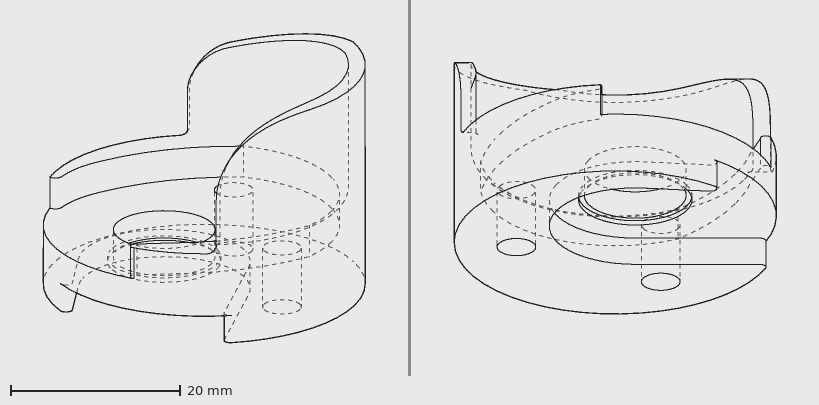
import cadquery as cq
import math

OUTER_RADIUS = 19.05
TOTAL_HEIGHT = 27.93
LEDGE_HEIGHT = 11.43
FLOOR_HEIGHT = 7.5
BLANK_RADIUS = 22.85
CUT_REACH = 26.67

WALL_INNER_RADIUS = 17.05
WALL_ROTATION = 15.0
SHOULDER_U = 15.5
RIGHT_SHOULDER_RADIUS = 9.9
LEFT_END_U = -5.95
LEFT_SHOULDER_RADIUS = 6.65
RIM_SLOPE = math.radians(15.5)
LEFT_EDGE_ROUND = 0.85
FOOT_FILLET = 1.05

POCKET_RADIUS = WALL_INNER_RADIUS - FOOT_FILLET
FLANK_START_X = -3.05
FLANK_START = (FLANK_START_X, math.sqrt(POCKET_RADIUS**2 - FLANK_START_X**2))
FLANK_MIDDLE = (-10.63, 10.35)
FLANK_END = (-15.77, 3.5)
LEFT_HORN_SIDE = (-17.2, 0)
LEFT_HORN_TIP = [(-17.53, -2.97), (-18.25, -3.77), (-18.8, -3.65)]
RIGHT_HORN_TIP = [(0.65, -19.0), (-0.08, -18.4), (0.42, -17.8)]

BORE_RADIUS = 6.02
BORE_OFFSET = -3.5
BORE_RELIEF_RADIUS = 6.7
BORE_RELIEF_HEIGHT = 4.05
SMALL_HOLE_RADIUS = 2.3
SMALL_HOLE_CENTERS = [(-2.17, 11.55), (11.55, -2.17)]

RECESS_HEIGHT = 3.45
RECESS_RADIUS = 10.17
MOUTH_LEFT_X = -9.0
MOUTH_RIGHT_X = 10.75
MOUTH_ROUND = 0.75


def swap(point):
    """Mirror a point about the X = Y diagonal."""
    return (point[1], point[0])


def wall_side(profile, v_start, v_end):
    """Extrude a (u, z) profile along v and turn it into the part's axes."""
    side = profile.close().extrude(v_start - v_end)
    return side.translate((0, v_start, 0)).rotate((0, 0, 0), (0, 0, 1), WALL_ROTATION)


def right_wall_limit():
    end_u = SHOULDER_U - RIGHT_SHOULDER_RADIUS
    diagonal = RIGHT_SHOULDER_RADIUS * math.sqrt(0.5)
    center_z = TOTAL_HEIGHT - RIGHT_SHOULDER_RADIUS
    profile = (
        cq.Workplane("XZ")
        .moveTo(end_u, 0)
        .lineTo(end_u, center_z)
        .threePointArc((SHOULDER_U - diagonal, center_z + diagonal), (SHOULDER_U, TOTAL_HEIGHT))
        .lineTo(CUT_REACH, TOTAL_HEIGHT)
        .lineTo(CUT_REACH, 0)
    )
    return wall_side(profile, 0, -CUT_REACH)


def left_wall_limit():
    radius = LEFT_SHOULDER_RADIUS
    center_u = LEFT_END_U + radius
    slope_u = center_u - radius * math.sin(RIM_SLOPE)
    slope_z = TOTAL_HEIGHT - (SHOULDER_U - slope_u) * math.tan(RIM_SLOPE)
    center_z = slope_z - radius * math.cos(RIM_SLOPE)
    half_sweep = (math.pi / 2 - RIM_SLOPE) / 2
    arc_middle = (center_u - radius * math.cos(half_sweep), center_z + radius * math.sin(half_sweep))
    profile = (
        cq.Workplane("XZ")
        .moveTo(LEFT_END_U, 0)
        .lineTo(LEFT_END_U, center_z)
        .threePointArc(arc_middle, (slope_u, slope_z))
        .lineTo(SHOULDER_U, TOTAL_HEIGHT)
        .lineTo(CUT_REACH, TOTAL_HEIGHT)
        .lineTo(CUT_REACH, 0)
    )
    return wall_side(profile, CUT_REACH, 0)


def left_wall():
    plan = (
        cq.Workplane("XY")
        .rect(CUT_REACH - LEFT_END_U, CUT_REACH)
        .extrude(TOTAL_HEIGHT)
        .translate(((CUT_REACH + LEFT_END_U) / 2, CUT_REACH / 2, 0))
        .rotate((0, 0, 0), (0, 0, 1), WALL_ROTATION)
    )
    ring = wall_ring().intersect(plan)
    end_v = math.sqrt(WALL_INNER_RADIUS**2 - LEFT_END_U**2)
    angle = math.radians(WALL_ROTATION)
    edge_x = LEFT_END_U * math.cos(angle) - end_v * math.sin(angle)
    edge_y = LEFT_END_U * math.sin(angle) + end_v * math.cos(angle)
    edge = cq.selectors.NearestToPointSelector((edge_x, edge_y, TOTAL_HEIGHT / 2))
    return ring.edges("|Z").edges(edge).fillet(LEFT_EDGE_ROUND).intersect(left_wall_limit())


def wall_ring():
    return cq.Workplane("XY").circle(BLANK_RADIUS).circle(WALL_INNER_RADIUS).extrude(TOTAL_HEIGHT)


def body_with_wall():
    base = cq.Workplane("XY").circle(CUT_REACH).extrude(LEDGE_HEIGHT)
    right_wall = wall_ring().intersect(right_wall_limit())
    body = base.union(left_wall()).union(right_wall).clean()
    ledge = body.faces(cq.selectors.NearestToPointSelector((0, 0, LEDGE_HEIGHT))).val()
    foot = [edge for wire in ledge.innerWires() for edge in wire.Edges()]
    envelope = cq.Workplane("XY").circle(OUTER_RADIUS).extrude(TOTAL_HEIGHT)
    return body.newObject(foot).fillet(FOOT_FILLET).intersect(envelope)


def pocket():
    """Round at the back, flaring past both flanks and open at the front left."""
    diagonal = POCKET_RADIUS * math.sqrt(0.5)
    return (
        cq.Workplane("XY")
        .workplane(offset=FLOOR_HEIGHT)
        .moveTo(*FLANK_START)
        .threePointArc(FLANK_MIDDLE, FLANK_END)
        .threePointArc(LEFT_HORN_SIDE, LEFT_HORN_TIP[0])
        .threePointArc(LEFT_HORN_TIP[1], LEFT_HORN_TIP[2])
        .lineTo(-CUT_REACH, LEFT_HORN_TIP[2][1])
        .lineTo(-CUT_REACH, -CUT_REACH)
        .lineTo(RIGHT_HORN_TIP[0][0], -CUT_REACH)
        .lineTo(*RIGHT_HORN_TIP[0])
        .threePointArc(RIGHT_HORN_TIP[1], RIGHT_HORN_TIP[2])
        .lineTo(*swap(FLANK_END))
        .threePointArc(swap(FLANK_MIDDLE), swap(FLANK_START))
        .threePointArc((diagonal, diagonal), FLANK_START)
        .close()
        .extrude(TOTAL_HEIGHT)
    )


def tangent_point(target, side):
    """Point on the recess circle whose tangent passes through the target."""
    dx = target[0] - BORE_OFFSET
    dy = target[1] - BORE_OFFSET
    angle = math.atan2(dy, dx) + side * math.acos(RECESS_RADIUS / math.hypot(dx, dy))
    return (
        BORE_OFFSET + RECESS_RADIUS * math.cos(angle),
        BORE_OFFSET + RECESS_RADIUS * math.sin(angle),
    )


def cut_recess(body):
    left = (MOUTH_LEFT_X, -math.sqrt(OUTER_RADIUS**2 - MOUTH_LEFT_X**2))
    right = (MOUTH_RIGHT_X, -math.sqrt(OUTER_RADIUS**2 - MOUTH_RIGHT_X**2))
    back = BORE_OFFSET + RECESS_RADIUS * math.sqrt(0.5)
    recess = (
        cq.Workplane("XY")
        .moveTo(*left)
        .lineTo(*tangent_point(left, -1))
        .threePointArc((back, back), tangent_point(right, 1))
        .lineTo(*right)
        .lineTo(MOUTH_RIGHT_X, -CUT_REACH)
        .lineTo(MOUTH_LEFT_X, -CUT_REACH)
        .close()
        .extrude(RECESS_HEIGHT)
    )
    body = body.cut(recess)
    for x, y in (left, right):
        edge = cq.selectors.NearestToPointSelector((x, y, RECESS_HEIGHT / 2))
        body = body.edges("|Z").edges(edge).fillet(MOUTH_ROUND)
    return body


def vertical_pins(centers, radius, height):
    return cq.Workplane("XY").pushPoints(centers).circle(radius).extrude(height)


def cut_holes(body):
    bore_center = [(BORE_OFFSET, BORE_OFFSET)]
    body = body.cut(vertical_pins(SMALL_HOLE_CENTERS, SMALL_HOLE_RADIUS, TOTAL_HEIGHT))
    body = body.cut(vertical_pins(bore_center, BORE_RADIUS, TOTAL_HEIGHT))
    return body.cut(vertical_pins(bore_center, BORE_RELIEF_RADIUS, BORE_RELIEF_HEIGHT))


result = cut_holes(cut_recess(body_with_wall().cut(pocket())))